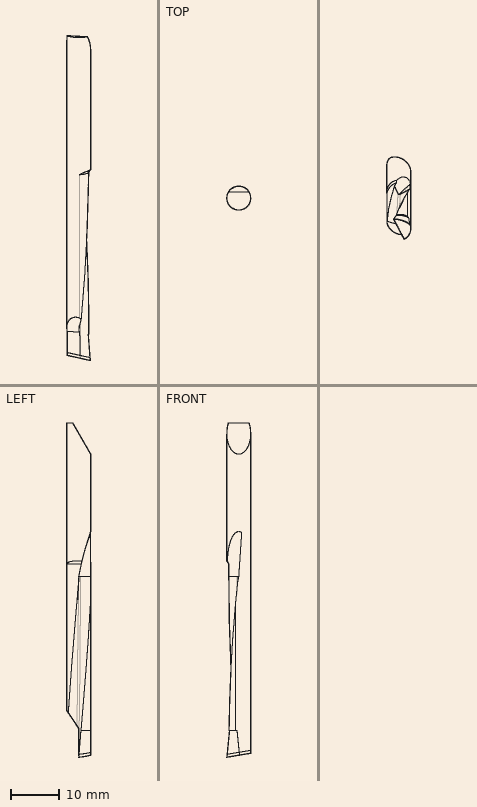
import cadquery as cq
import math

length = 69.5
bar_diameter = 5.0
bar_radius = bar_diameter / 2
clear = bar_diameter

bevel_flat_y = 1.25
bevel_angle = 60.0

neck_radius = 2.8
neck_depth = 0.4
full_depth = -0.035
neck_top = 40.9
neck_step = 0.7
head_height = 5.55

flute_top = 37.5
flute_twist_rate = 2.331
flute_angle = 86.0
flute_root_radius = 0.35
runout_top = 46.9
runout_lean = 0.6
runout_mid_y = -1.0
runout_mid_z = 42.05

rake_top = 9.7
rake_bottom = 6.0

flank_end_x = 0.2
head_top_end_x = -0.35
flank_bulge = 0.3

tip_thickness = 0.6
end_angle = 9.5


def neck_centre(depth):
    """X of the centre of a neck circle lying depth inside the -X side."""
    return neck_radius - bar_radius + depth


def neck_section(lower_z, upper_z, lower_depth, upper_depth):
    """Envelope of the relieved bar between two heights."""
    return (
        cq.Workplane("XY", origin=(0, 0, lower_z))
        .center(neck_centre(lower_depth), 0)
        .circle(neck_radius)
        .workplane(offset=upper_z - lower_z)
        .center(upper_depth - lower_depth, 0)
        .circle(neck_radius)
        .loft(ruled=True, combine=True)
    )


def relieved_bar():
    """Bar with a slim neck that flares to full reach at the cutting corner."""
    neck_end = neck_top - neck_step
    bar = cq.Workplane("XY").circle(bar_radius).extrude(length)
    trim = (
        cq.Workplane("XY")
        .center(-clear / 2, 0)
        .rect(clear, 2 * clear)
        .extrude(neck_top)
    )
    sections = (
        neck_section(0, head_height, full_depth, neck_depth),
        neck_section(head_height, neck_end, neck_depth, neck_depth),
        neck_section(neck_end, neck_top, neck_depth, full_depth),
    )
    for section in sections:
        trim = trim.cut(section)
    return bar.cut(trim)


def shank_bevel():
    bevel_run = bar_radius + clear + bevel_flat_y
    bevel_drop = bevel_run * math.tan(math.radians(bevel_angle))
    return (
        cq.Workplane("YZ")
        .moveTo(bevel_flat_y, length)
        .lineTo(bevel_flat_y - bevel_run, length)
        .lineTo(bevel_flat_y - bevel_run, length - bevel_drop)
        .close()
        .extrude(clear, both=True)
    )


def helical_flute():
    """Twisted V groove with a rounded root on the bar axis."""
    reach = 2 * clear
    second = math.radians(180 - flute_angle)
    profile = (
        cq.Workplane("XY")
        .lineTo(reach * math.cos(second), reach * math.sin(second))
        .lineTo(-reach, 0)
        .close()
        .extrude(0.7)
        .edges("|Z")
        .edges(cq.selectors.NearestToPointSelector((0, 0, 0)))
        .fillet(flute_root_radius)
        .faces("<Z")
        .wires()
        .val()
    )
    wire = cq.Workplane("XY").add(profile).toPending()
    return wire.twistExtrude(flute_top, flute_twist_rate * flute_top)


def flute_runout():
    """Curved floor and leaning wall that bring the flute out to the -Y surface."""
    floor = (
        cq.Workplane("YZ")
        .moveTo(0, flute_top)
        .threePointArc((runout_mid_y, runout_mid_z), (-bar_radius, runout_top))
        .lineTo(-clear, runout_top)
        .lineTo(-clear, flute_top)
        .close()
        .extrude(clear, both=True)
    )
    wall = (
        cq.Workplane("XZ")
        .moveTo(0, flute_top)
        .lineTo(runout_lean, runout_top)
        .lineTo(-clear, runout_top)
        .lineTo(-clear, flute_top)
        .close()
        .extrude(clear, both=True)
    )
    return floor.intersect(wall)


def rake_relief():
    slope = (rake_top - rake_bottom) / bar_radius
    return (
        cq.Workplane("YZ")
        .moveTo(0, -clear)
        .lineTo(0, rake_bottom)
        .lineTo(clear, rake_bottom + slope * clear)
        .lineTo(clear, -clear)
        .close()
        .extrude(clear, both=True)
    )


def flank_relief():
    """Remove the side of the head outside an arc behind the cutting corner."""
    flank_end_y = -math.sqrt(bar_radius**2 - flank_end_x**2)
    head_top_end_y = -math.sqrt(bar_radius**2 - head_top_end_x**2)
    bottom = ((-bar_radius, 0), (flank_end_x, flank_end_y))
    top = ((neck_depth - bar_radius, 0), (head_top_end_x, head_top_end_y))

    def outline(workplane, chord):
        (start_x, start_y), (end_x, end_y) = chord
        outward_x = end_y - start_y
        outward_y = start_x - end_x
        rise = flank_bulge / math.hypot(outward_x, outward_y)
        middle_x = (start_x + end_x) / 2 + rise * outward_x
        middle_y = (start_y + end_y) / 2 + rise * outward_y
        return (
            workplane
            .moveTo(start_x, start_y)
            .threePointArc((middle_x, middle_y), (end_x, end_y))
            .lineTo(end_x + outward_x, end_y + outward_y)
            .lineTo(start_x - clear, start_y + clear)
            .close()
        )

    lower = outline(cq.Workplane("XY"), bottom)
    return outline(lower.workplane(offset=head_height), top).loft(ruled=True)


def below_end_plane(offset):
    """Space below the sloping end plane, raised by offset."""
    rise = math.tan(math.radians(end_angle))
    left_z = offset + rise * (bar_radius - clear)
    right_z = offset + rise * (bar_radius + clear)
    return (
        cq.Workplane("XZ")
        .polyline([(-clear, -clear), (clear, -clear), (clear, right_z), (-clear, left_z)])
        .close()
        .extrude(clear, both=True)
    )


boring_bar = relieved_bar()
for cutter in (
    shank_bevel(),
    helical_flute(),
    flute_runout(),
    rake_relief(),
    flank_relief(),
    below_end_plane(0),
):
    boring_bar = boring_bar.cut(cutter, clean=False)

tip_zone = below_end_plane(tip_thickness)
bar_body = boring_bar.cut(tip_zone, clean=False)
cutting_tip = boring_bar.intersect(tip_zone, clean=False)

result = cq.Compound.makeCompound([bar_body.val(), cutting_tip.val()])